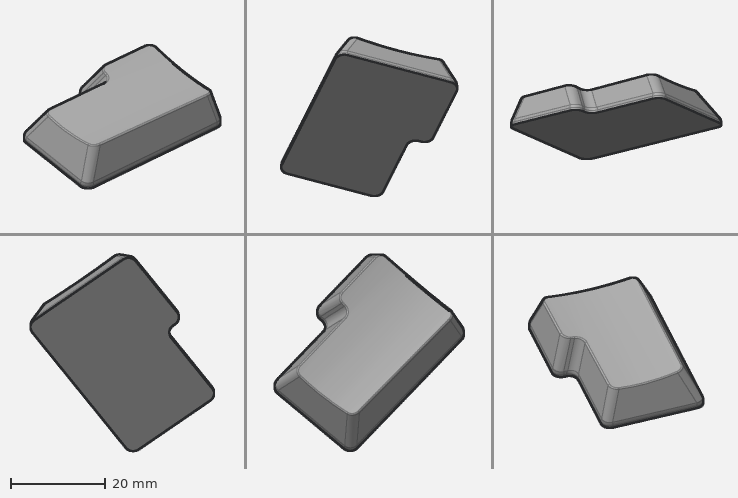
import cadquery as cq
import math

width = 27.45
length = 37.2
notch_width = 4.55
step_y = 0.0

corner_radius = 2.0
skirt_height = 0.6
band_height = 0.75
blank_height = 8.93
left_slope = 0.49
right_slope = 0.48
front_slope = 0.67
step_slope = 0.62
back_slope = 0.09
wall_convex_radius = 1.82
wall_concave_radius = 1.8

dish_radius = 61.4
dish_low_z = 6.6
dish_climb = 0.019
rim_radius = 0.4


def rounded_outline(rise, z, convex_radius, concave_radius):
    """Stepped outline after the walls have leaned in over the given rise."""
    left = -width / 2 + left_slope * rise
    right = width / 2 - right_slope * rise
    back = length / 2 - back_slope * rise
    front = -length / 2 + front_slope * rise
    step = step_y + step_slope * rise
    notch = left + notch_width
    corners = [
        (notch, front, (0, -1), (1, 0), convex_radius),
        (right, front, (1, 0), (0, 1), convex_radius),
        (right, back, (0, 1), (-1, 0), convex_radius),
        (left, back, (-1, 0), (0, -1), convex_radius),
        (left, step, (0, -1), (1, 0), convex_radius),
        (notch, step, (1, 0), (0, -1), concave_radius),
    ]
    pull_share = 1 - math.sqrt(0.5)
    outline = cq.Workplane("XY").workplane(offset=z)
    for index, (x, y, arrive, depart, radius) in enumerate(corners):
        start = (x - arrive[0] * radius, y - arrive[1] * radius)
        end = (x + depart[0] * radius, y + depart[1] * radius)
        pull = pull_share * radius
        middle = (x + (depart[0] - arrive[0]) * pull, y + (depart[1] - arrive[1]) * pull)
        if index == 0:
            outline = outline.moveTo(*start)
        else:
            outline = outline.lineTo(*start)
        outline = outline.threePointArc(middle, end)
    return outline.close()


def loft_between(sections, ruled):
    """Solid through the sections, straight-sided when ruled."""
    return cq.Workplane(cq.Solid.makeLoft(sections, ruled))


def make_blank():
    """Upright skirt, curved band and sloping walls, stacked."""
    skirt = rounded_outline(0, 0, corner_radius, corner_radius).extrude(skirt_height)

    band_sections = []
    for share in (0, 0.5, 1):
        rise = band_height * share ** 2 / 2
        z = skirt_height + band_height * share
        convex_radius = corner_radius - (corner_radius - wall_convex_radius) * share ** 2
        concave_radius = corner_radius - (corner_radius - wall_concave_radius) * share ** 2
        band_sections.append(rounded_outline(rise, z, convex_radius, concave_radius).val())
    band = loft_between(band_sections, False)

    wall_base = band_sections[-1]
    wall_rise = blank_height - skirt_height - band_height / 2
    wall_top = rounded_outline(wall_rise, blank_height, wall_convex_radius, wall_concave_radius).val()
    walls = loft_between([wall_base, wall_top], True)
    return skirt.union(band).union(walls)


def make_dish_cutter():
    """Long cylinder whose underside cuts the concave, tilted top."""
    axis = cq.Vector(0, -1, dish_climb)
    centre = cq.Vector(0, 0, dish_low_z + dish_radius)
    start = centre - axis * length
    return cq.Workplane(cq.Solid.makeCylinder(dish_radius, 2 * length, start, axis))


blank = make_blank()
dished = blank.cut(make_dish_cutter())
dish_face = dished.faces("%CYLINDER").faces(">Z")
result = dish_face.edges().fillet(rim_radius)